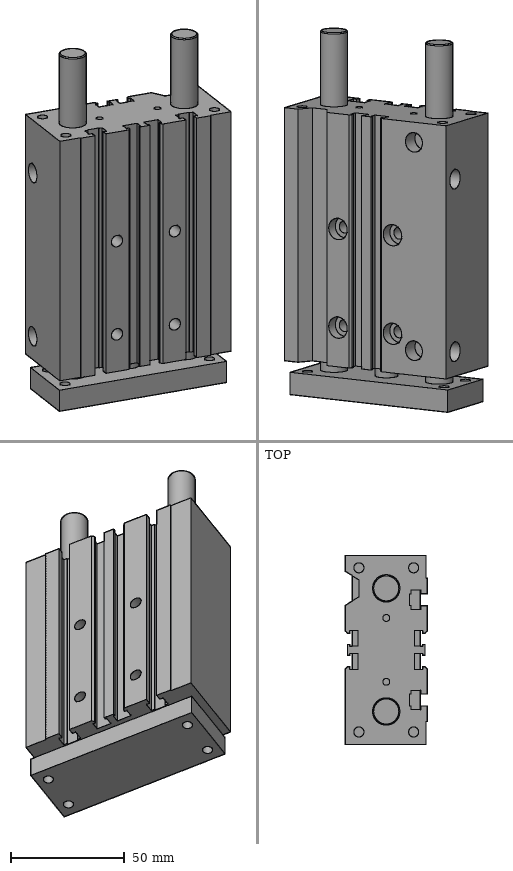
import cadquery as cq
import math


PLATE_X = 30.0
PLATE_Y = 81.0
PLATE_THICKNESS = 10.0
PLATE_GAP = 5.5
PLATE_HOLE_DIAMETER = 4.4
PLATE_HOLE_X = 9.0
PLATE_HOLE_Y = 35.0
GUIDE_ROD_DIAMETER = 12.0
GUIDE_ROD_OFFSET = 27.0
GUIDE_ROD_PROJECTION = 33.0
GUIDE_ROD_CHAMFER = 0.5
PISTON_ROD_DIAMETER = 10.0

HOUSING_X = 36.0
HOUSING_Y = 83.0
HOUSING_HEIGHT = 113.0
HOUSING_BOTTOM = PLATE_THICKNESS + PLATE_GAP
HOUSING_TOP = HOUSING_BOTTOM + HOUSING_HEIGHT
GUIDE_ROD_END = HOUSING_TOP + GUIDE_ROD_PROJECTION
SIDE_X = HOUSING_X / 2

EDGE_RELIEF_DEPTH = 0.5
EDGE_RELIEF_WIDTH = 10.0

TAPER_GROOVE_DEPTH = 6.0
TAPER_GROOVE_FLOOR = 7.4
TAPER_GROOVE_WALL_ANGLE = 32.0

T_SLOT_OFFSET = 22.0
T_SLOT_NECK_WIDTH = 5.2
T_SLOT_NECK_DEPTH = 2.8
T_SLOT_HEAD_WIDTH = 8.4
T_SLOT_HEAD_DEPTH = 7.2
T_SLOT_RELIEF_DEPTH = 7.7

SENSOR_RIB_TOP_WIDTH = 4.8
SENSOR_RIB_TOP_DEPTH = 1.0
SENSOR_RIB_WEB_WIDTH = 3.3
SENSOR_MOUTH_WIDTH = 14.6
SENSOR_MOUTH_CHAMFER = 1.0
SENSOR_HEAD_WIDTH = 17.0
SENSOR_LIP_DEPTH = 2.0
SENSOR_FLOOR_DEPTH = 5.6

CORNER_HOLE_DIAMETER = 4.4
CORNER_HOLE_X = 12.0
CORNER_HOLE_Y = 36.0
CORNER_HOLE_DEPTH = 12.0
PIN_HOLE_DIAMETER = 3.0
PIN_HOLE_DEPTH = 6.0
MOUNT_HOLE_DIAMETER = 5.4
MOUNT_BORE_DIAMETER = 9.5
MOUNT_BORE_DEPTH = 5.6
MOUNT_OFFSET = 14.0
MOUNT_HEIGHT = 17.5
MOUNT_PITCH = 44.0

PORT_DIAMETER = 8.7
PORT_DEPTH = 8.0
LOWER_PORT_HEIGHT = 11.0
SIDE_PORT_Y = -25.0
SIDE_PORT_UPPER_HEIGHT = HOUSING_HEIGHT - 9.0
END_PORT_X = -10.5
END_PORT_UPPER_HEIGHT = 88.0

GUIDE_POINTS = [(0, -GUIDE_ROD_OFFSET), (0, GUIDE_ROD_OFFSET)]


def four_corners(x, y):
    """Corner points of a rectangle centred on the Z axis."""
    return [(-x, -y), (-x, y), (x, -y), (x, y)]


def full_height(outline):
    """Raise a closed outline over the height of the housing."""
    return outline.extrude(HOUSING_HEIGHT)


def bottom_plane():
    return cq.Workplane("XY", origin=(0, 0, HOUSING_BOTTOM))


def channel(side, start_depth, end_depth, center_y, width):
    """Rectangular channel between two depths below the -X (side=-1) or +X (side=1) face."""
    center_x = side * (SIDE_X - (start_depth + end_depth) / 2)
    return full_height(bottom_plane().center(center_x, center_y).rect(end_depth - start_depth, width))


def taper_groove():
    half_floor = TAPER_GROOVE_FLOOR / 2
    half_mouth = half_floor + TAPER_GROOVE_DEPTH * math.tan(math.radians(TAPER_GROOVE_WALL_ANGLE))
    floor_x = -SIDE_X + TAPER_GROOVE_DEPTH
    outline = bottom_plane().polyline([
        (-SIDE_X, GUIDE_ROD_OFFSET - half_mouth),
        (floor_x, GUIDE_ROD_OFFSET - half_floor),
        (floor_x, GUIDE_ROD_OFFSET + half_floor),
        (-SIDE_X, GUIDE_ROD_OFFSET + half_mouth),
    ]).close()
    return full_height(outline)


def t_slot(center_y):
    neck = channel(1, 0, T_SLOT_NECK_DEPTH, center_y, T_SLOT_NECK_WIDTH)
    head = channel(1, T_SLOT_NECK_DEPTH, T_SLOT_HEAD_DEPTH, center_y, T_SLOT_HEAD_WIDTH)
    relief = channel(1, T_SLOT_HEAD_DEPTH, T_SLOT_RELIEF_DEPTH, center_y, T_SLOT_NECK_WIDTH)
    return neck.union(head).union(relief)


def sensor_slots(side):
    """Recess across both sensor slots, less the T-shaped rib that divides it."""
    half_mouth = SENSOR_MOUTH_WIDTH / 2
    chamfer_x = side * (SIDE_X - SENSOR_MOUTH_CHAMFER)
    flare = full_height(bottom_plane().polyline([
        (side * SIDE_X, -half_mouth - SENSOR_MOUTH_CHAMFER),
        (chamfer_x, -half_mouth),
        (chamfer_x, half_mouth),
        (side * SIDE_X, half_mouth + SENSOR_MOUTH_CHAMFER),
    ]).close())
    mouth = channel(side, 0, SENSOR_LIP_DEPTH, 0, SENSOR_MOUTH_WIDTH)
    heads = channel(side, SENSOR_LIP_DEPTH, SENSOR_FLOOR_DEPTH, 0, SENSOR_HEAD_WIDTH)
    rib_top = channel(side, SENSOR_RIB_TOP_DEPTH, SENSOR_LIP_DEPTH, 0, SENSOR_RIB_TOP_WIDTH)
    rib_web = channel(side, SENSOR_LIP_DEPTH, SENSOR_FLOOR_DEPTH, 0, SENSOR_RIB_WEB_WIDTH)
    return flare.union(mouth).union(heads).cut(rib_top).cut(rib_web)


def cylinder(start, direction, diameter, length):
    return cq.Workplane(cq.Solid.makeCylinder(diameter / 2, length, cq.Vector(*start), cq.Vector(*direction)))


def cut_profile(block):
    relief_y = (HOUSING_Y - EDGE_RELIEF_WIDTH) / 2
    for end in (-1, 1):
        block = block.cut(channel(1, 0, EDGE_RELIEF_DEPTH, end * relief_y, EDGE_RELIEF_WIDTH))
        block = block.cut(t_slot(end * T_SLOT_OFFSET))
        block = block.cut(sensor_slots(end))
    return block.cut(taper_groove())


def cut_end_holes(block):
    """Guide rod bores through the housing, and blind holes in its top."""
    block = block.cut(full_height(bottom_plane().pushPoints(GUIDE_POINTS).circle(GUIDE_ROD_DIAMETER / 2)))
    top_plane = cq.Workplane("XY", origin=(0, 0, HOUSING_TOP))
    corner_points = four_corners(CORNER_HOLE_X, CORNER_HOLE_Y)
    block = block.cut(top_plane.pushPoints(corner_points).circle(CORNER_HOLE_DIAMETER / 2)
                      .extrude(-CORNER_HOLE_DEPTH))
    pin_points = [(0, -MOUNT_OFFSET), (0, MOUNT_OFFSET)]
    return block.cut(top_plane.pushPoints(pin_points).circle(PIN_HOLE_DIAMETER / 2).extrude(-PIN_HOLE_DEPTH))


def cut_mount_holes(block):
    """Four holes through the housing along X, counterbored on the -X side."""
    for y in (-MOUNT_OFFSET, MOUNT_OFFSET):
        for height in (MOUNT_HEIGHT, MOUNT_HEIGHT + MOUNT_PITCH):
            start = (-SIDE_X, y, HOUSING_BOTTOM + height)
            block = block.cut(cylinder(start, (1, 0, 0), MOUNT_HOLE_DIAMETER, HOUSING_X))
            block = block.cut(cylinder(start, (1, 0, 0), MOUNT_BORE_DIAMETER, MOUNT_BORE_DEPTH))
    return block


def cut_ports(block):
    for height in (LOWER_PORT_HEIGHT, SIDE_PORT_UPPER_HEIGHT):
        start = (-SIDE_X, SIDE_PORT_Y, HOUSING_BOTTOM + height)
        block = block.cut(cylinder(start, (1, 0, 0), PORT_DIAMETER, PORT_DEPTH))
    for height in (LOWER_PORT_HEIGHT, END_PORT_UPPER_HEIGHT):
        start = (END_PORT_X, -HOUSING_Y / 2, HOUSING_BOTTOM + height)
        block = block.cut(cylinder(start, (0, 1, 0), PORT_DIAMETER, PORT_DEPTH))
    return block


def make_housing():
    block = full_height(bottom_plane().rect(HOUSING_X, HOUSING_Y))
    block = cut_profile(block)
    block = cut_end_holes(block)
    block = cut_mount_holes(block)
    return cut_ports(block)


def make_tool_plate():
    """Plate with both guide rods, and the piston rod that meets the housing bottom."""
    plate = cq.Workplane("XY").rect(PLATE_X, PLATE_Y).extrude(PLATE_THICKNESS)
    hole_points = four_corners(PLATE_HOLE_X, PLATE_HOLE_Y)
    plate = plate.cut(cq.Workplane("XY").pushPoints(hole_points).circle(PLATE_HOLE_DIAMETER / 2)
                      .extrude(PLATE_THICKNESS))
    plate_top = cq.Workplane("XY", origin=(0, 0, PLATE_THICKNESS))
    guide_rods = (plate_top.pushPoints(GUIDE_POINTS).circle(GUIDE_ROD_DIAMETER / 2)
                  .extrude(GUIDE_ROD_END - PLATE_THICKNESS)
                  .faces(">Z").chamfer(GUIDE_ROD_CHAMFER))
    piston_rod = plate_top.circle(PISTON_ROD_DIAMETER / 2).extrude(PLATE_GAP)
    return plate.union(guide_rods).union(piston_rod)


housing = make_housing()
tool_plate = make_tool_plate()

result = cq.Compound.makeCompound([housing.val(), tool_plate.val()])